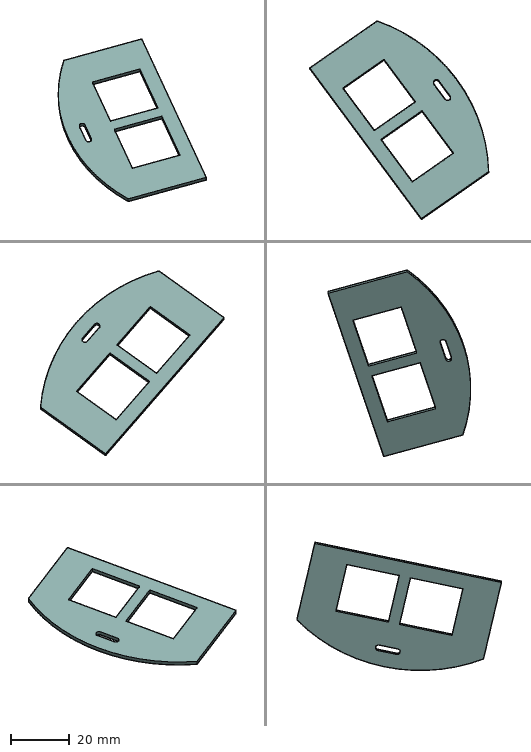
import cadquery as cq

plate_width = 65.0
plate_depth = 38.25
side_length = 28.2
thickness = 1.5

window_width = 18.25
window_depth = 17.15
window_gap = 3.9
window_back_margin = 5.1

slot_length = 8.5
slot_width = 2.0
slot_back_distance = 32.0

half_width = plate_width / 2
back_y = plate_depth / 2
front_y = -plate_depth / 2
corner_y = back_y - side_length


def make_plate():
    """Flat plate whose front edge is a single arc through the crown."""
    return (
        cq.Workplane("XY")
        .moveTo(-half_width, back_y)
        .lineTo(-half_width, corner_y)
        .threePointArc((0, front_y), (half_width, corner_y))
        .lineTo(half_width, back_y)
        .close()
        .extrude(thickness)
    )


def make_windows():
    """Cutters for the two windows, one on each side of the web."""
    center_x = (window_gap + window_width) / 2
    center_y = back_y - window_back_margin - window_depth / 2
    return (
        cq.Workplane("XY")
        .pushPoints([(-center_x, center_y), (center_x, center_y)])
        .rect(window_width, window_depth)
        .extrude(thickness)
    )


def make_slot():
    """Cutter for the round-ended slot on the centre line."""
    return (
        cq.Workplane("XY")
        .center(0, back_y - slot_back_distance)
        .slot2D(slot_length, slot_width)
        .extrude(thickness)
    )


result = make_plate().cut(make_windows()).cut(make_slot())